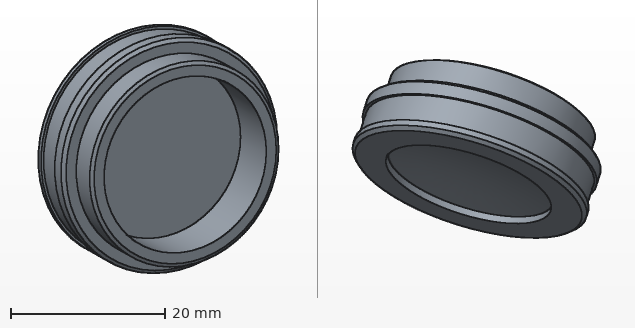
import cadquery as cq
import math

front_flange_end = 1.3
groove_end = 5.1
rear_flange_end = 7.3
housing_length = 11.3

flange_diameter = 31.75
groove_diameter = 31.0
spigot_diameter = 27.75
window_diameter = 22.4
bore_diameter = 23.8

flange_chamfer = 0.5
rear_flange_chamfer_length = 0.45
spigot_chamfer_length = 0.3
spigot_chamfer_depth = 0.5

lip_thickness = 1.0
lens_thickness = 3.18
concave_diameter = 22.1
concave_depth = 1.15


def revolve_about_x(profile):
    """Turn a closed (x, radius) profile into a solid of revolution about X."""
    return profile.close().revolve(360, (0, 0, 0), (1, 0, 0))


def make_housing():
    """Flanged barrel with an outer groove and a lipped through bore."""
    flange_radius = flange_diameter / 2
    groove_radius = groove_diameter / 2
    spigot_radius = spigot_diameter / 2
    window_radius = window_diameter / 2
    bore_radius = bore_diameter / 2
    outline = [
        (0, window_radius),
        (0, flange_radius - flange_chamfer),
        (flange_chamfer, flange_radius),
        (front_flange_end, flange_radius),
        (front_flange_end, groove_radius),
        (groove_end, groove_radius),
        (groove_end, flange_radius),
        (rear_flange_end - rear_flange_chamfer_length, flange_radius),
        (rear_flange_end, flange_radius - flange_chamfer),
        (rear_flange_end, spigot_radius),
        (housing_length - spigot_chamfer_length, spigot_radius),
        (housing_length, spigot_radius - spigot_chamfer_depth),
        (housing_length, bore_radius),
        (lip_thickness, bore_radius),
        (lip_thickness, window_radius),
    ]
    return revolve_about_x(cq.Workplane("XY").polyline(outline))


def make_lens():
    """Disc filling the bore, with a spherical hollow in its front face."""
    lens_radius = bore_diameter / 2
    concave_radius = concave_diameter / 2
    hollow_bottom = lip_thickness + concave_depth
    sphere_radius = (concave_radius**2 + concave_depth**2) / (2 * concave_depth)
    arc_middle_radius = concave_radius / 2
    sphere_center_x = hollow_bottom - sphere_radius
    arc_middle_x = sphere_center_x + math.sqrt(sphere_radius**2 - arc_middle_radius**2)
    lens_back = lip_thickness + lens_thickness
    profile = (
        cq.Workplane("XY")
        .moveTo(hollow_bottom, 0)
        .threePointArc((arc_middle_x, arc_middle_radius), (lip_thickness, concave_radius))
        .lineTo(lip_thickness, lens_radius)
        .lineTo(lens_back, lens_radius)
        .lineTo(lens_back, 0)
    )
    return revolve_about_x(profile)


housing = make_housing()
lens = make_lens()

result = cq.Compound.makeCompound([housing.val(), lens.val()])